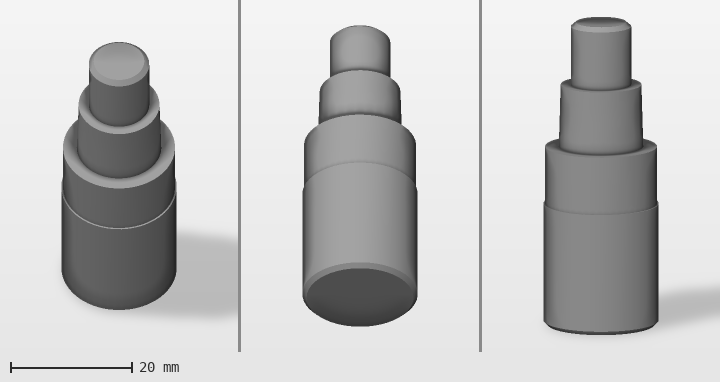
import cadquery as cq

total_height = 51.0
step_height = 20.4
housing_height = 30.05
taper_top_height = 40.5

base_diameter = 19.05
collar_diameter = 18.5
taper_bottom_diameter = 13.95
taper_top_diameter = 13.35
pin_diameter = 10.0

base_chamfer = 0.7
pin_chamfer_height = 0.7
pin_chamfer_width = 0.8


def make_housing():
    """Chamfered round base with a slightly narrower collar above it."""
    base = cq.Workplane("XY").circle(base_diameter / 2).extrude(step_height)
    base = base.faces("<Z").chamfer(base_chamfer)
    collar_height = housing_height - step_height
    collar = cq.Workplane("XY").workplane(offset=step_height).circle(collar_diameter / 2).extrude(collar_height)
    return base.union(collar)


def make_plunger():
    """Tapered shoulder and straight chamfered pin, seated on the housing's top face."""
    pin_radius = pin_diameter / 2
    half_profile = (
        cq.Workplane("XZ")
        .moveTo(0, housing_height)
        .lineTo(taper_bottom_diameter / 2, housing_height)
        .lineTo(taper_top_diameter / 2, taper_top_height)
        .lineTo(pin_radius, taper_top_height)
        .lineTo(pin_radius, total_height - pin_chamfer_height)
        .lineTo(pin_radius - pin_chamfer_width, total_height)
        .lineTo(0, total_height)
        .close()
    )
    return half_profile.revolve(360, (0, 0, 0), (0, 1, 0))


housing = make_housing()
plunger = make_plunger()

result = cq.Compound.makeCompound([housing.val(), plunger.val()])